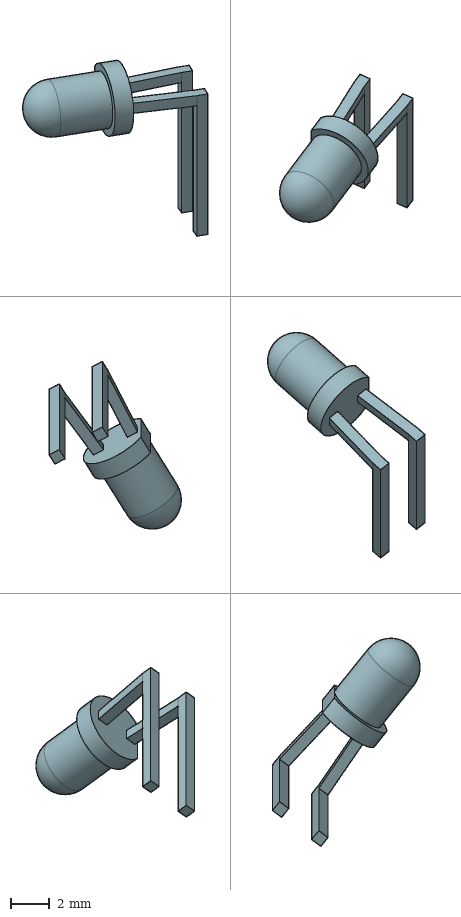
import cadquery as cq


lens_diameter = 3.0
lens_radius = lens_diameter / 2
barrel_length = 2.8

flange_diameter = 3.8
flange_radius = flange_diameter / 2
flange_thickness = 1.0
flat_offset = lens_radius

wire = 0.6
root_spacing = 2.0
tip_spacing = 2.54
lead_reach = 4.11
leg_bottom = -7.99

barrel_front = -(flange_thickness + barrel_length)
splay_end = lead_reach - wire


def make_lens():
    """Cylindrical barrel with a hemispherical dome, revolved about Y."""
    profile = (
        cq.Workplane("XY")
        .lineTo(lens_radius, 0)
        .lineTo(lens_radius, barrel_front)
        .radiusArc((0, barrel_front - lens_radius), lens_radius)
        .close()
    )
    return profile.revolve(360, (0, 0, 0), (0, 1, 0))


def make_flange():
    """Round disc with one flat facing -X."""
    disc = cq.Workplane("XZ").circle(flange_radius).extrude(flange_thickness)
    keep = (
        cq.Workplane("XZ")
        .rect(flange_radius + flat_offset, flange_diameter)
        .extrude(flange_thickness)
        .translate(((flange_radius - flat_offset) / 2, 0, 0))
    )
    return disc.intersect(keep)


def make_lead(side):
    """Splayed horizontal run and vertical leg; side is -1 or +1 along X."""
    root_x = side * root_spacing / 2
    tip_x = side * tip_spacing / 2
    half = wire / 2
    run = (
        cq.Workplane("XY", origin=(0, 0, -half))
        .moveTo(root_x - half, 0)
        .lineTo(root_x + half, 0)
        .lineTo(tip_x + half, splay_end)
        .lineTo(tip_x + half, lead_reach)
        .lineTo(tip_x - half, lead_reach)
        .lineTo(tip_x - half, splay_end)
        .close()
        .extrude(wire)
    )
    leg = (
        cq.Workplane("XY", origin=(tip_x, lead_reach - half, leg_bottom))
        .rect(wire, wire)
        .extrude(half - leg_bottom)
    )
    return run.union(leg)


result = make_lens().union(make_flange())
for side in (-1, 1):
    result = result.union(make_lead(side))